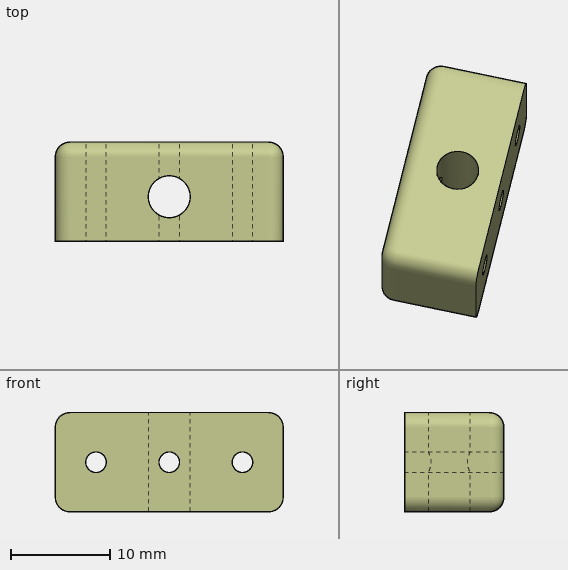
import cadquery as cq

length = 22.95
depth = 10.0
height = 10.0
edge_radius = 1.5

small_hole_diameter = 2.05
small_hole_pitch = 7.37
small_hole_count = 3

large_hole_diameter = 4.2
large_hole_from_front = 4.5


def rounded_block():
    """Block rounded on every edge except those around the flat front face."""
    block = cq.Workplane("XY").box(length, depth, height, centered=(True, False, True))
    return block.edges("|Y or >Y").fillet(edge_radius)


def small_holes():
    """Evenly spaced cylinders along X, each passing through the full depth."""
    return (
        cq.Workplane("XZ")
        .rarray(small_hole_pitch, 0.23, small_hole_count, 1)
        .circle(small_hole_diameter / 2)
        .extrude(-depth)
    )


def large_hole():
    """Vertical cylinder passing through the full height."""
    return (
        cq.Workplane("XY")
        .center(0, large_hole_from_front)
        .circle(large_hole_diameter / 2)
        .extrude(height / 2, both=True)
    )


result = rounded_block().cut(small_holes()).cut(large_hole())